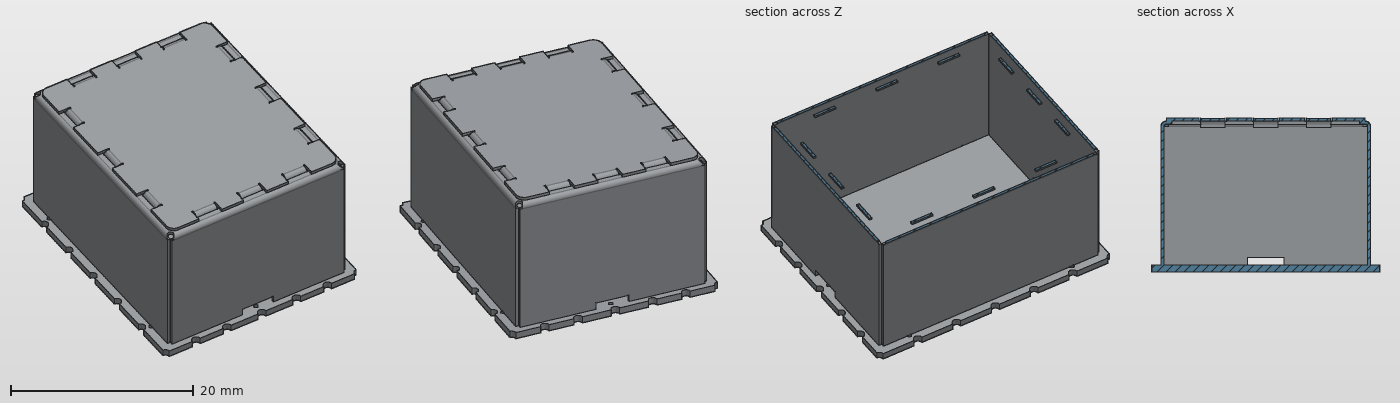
import cadquery as cq
import math

board_x = 30.0
board_y = 25.0
board_t = 0.8
notch_d = 1.0
notch_xs = (-10, -5, 0, 5, 10)
notch_ys = (-8.5, -4.5, 0, 4.5, 8.5)
rim_hole_d = 0.5
rim_hole_x = 10.5
rim_hole_y = 11.52
pin_hole_d = 0.5
pin_hole_x = 13.75

total_z = 16.91
sheet_t = 0.35
frame_x = 28.4
frame_y = 23.0
bend_r = 0.6
flange_w = 1.25
corner_gap = 0.02
relief_d = 0.8
relief_inset = 0.43
slot_w = 4.0
slot_h = 0.8

lid_corner_r = 1.0
tab_bend_r = 0.65
tab_slot_w = 3.0
tab_gap = 0.15
tab_xs = (-8, 0, 8)
tab_ys = (-5.8, 0, 5.8)

frame_top = total_z - sheet_t
bend_start_z = frame_top - bend_r
lid_x = frame_x - 2 * bend_r
lid_y = frame_y - 2 * bend_r
opening_x = frame_x - 2 * flange_w
opening_y = frame_y - 2 * flange_w
tab_w = tab_slot_w - 2 * tab_gap
tab_leg_end = frame_top - 2 * sheet_t


def block(size_x, size_y, z_bottom, z_top):
    """Box centred on the Z axis between two heights."""
    box = cq.Workplane("XY").box(size_x, size_y, z_top - z_bottom, centered=(True, True, False))
    return box.translate((0, 0, z_bottom))


def corner_points(size_x, size_y):
    return [(sx * size_x / 2, sy * size_y / 2) for sx in (-1, 1) for sy in (-1, 1)]


def make_board():
    notches = corner_points(board_x, board_y)
    for side in (-1, 1):
        notches += [(x, side * board_y / 2) for x in notch_xs]
        notches += [(side * board_x / 2, y) for y in notch_ys]
    rim_holes = corner_points(2 * rim_hole_x, 2 * rim_hole_y)
    pin_holes = [(-pin_hole_x, 0), (pin_hole_x, 0)]

    board = block(board_x, board_y, 0, board_t)
    for points, diameter in (
        (notches, notch_d),
        (rim_holes, rim_hole_d),
        (pin_holes, pin_hole_d),
    ):
        cutters = cq.Workplane("XY").pushPoints(points).circle(diameter / 2).extrude(board_t)
        board = board.cut(cutters)
    return board


def make_frame():
    outside = block(frame_x, frame_y, board_t, frame_top).faces(">Z").edges().fillet(bend_r)
    inside = block(frame_x - 2 * sheet_t, frame_y - 2 * sheet_t, board_t, frame_top - sheet_t)
    inside = inside.faces(">Z").edges().fillet(bend_r - sheet_t)
    frame = outside.cut(inside)
    frame = frame.cut(block(opening_x, opening_y, board_t, total_z))

    seam_w = sheet_t + corner_gap
    for x, y in corner_points(frame_x, frame_y):
        seam = block(2 * seam_w, 2 * seam_w, board_t, frame_top)
        frame = frame.cut(seam.translate((x, y, 0)))
    reliefs = (
        cq.Workplane("XY", origin=(0, 0, bend_start_z))
        .pushPoints(corner_points(frame_x - 2 * relief_inset, frame_y - 2 * relief_inset))
        .circle(relief_d / 2)
        .extrude(bend_r)
    )
    frame = frame.cut(reliefs)

    return frame.cut(block(board_x, slot_w, board_t, board_t + slot_h))


def place_tab(shape, side_angle, reach, offset):
    """Move a shape built at the origin, pointing +X, to an opening edge."""
    return shape.translate((reach, offset, 0)).rotate((0, 0, 0), (0, 0, 1), side_angle)


def make_tab():
    """Tab bent down through a quarter turn, its outer face at X = 0."""
    inner_r = tab_bend_r - sheet_t
    bend_z = total_z - tab_bend_r
    diagonal = math.sqrt(0.5)
    root_x = -tab_bend_r - tab_gap
    profile = (
        cq.Workplane("XZ")
        .moveTo(root_x, total_z)
        .lineTo(-tab_bend_r, total_z)
        .threePointArc((tab_bend_r * (diagonal - 1), bend_z + tab_bend_r * diagonal), (0, bend_z))
        .lineTo(0, tab_leg_end)
        .lineTo(-sheet_t, tab_leg_end)
        .lineTo(-sheet_t, bend_z)
        .threePointArc(
            (inner_r * diagonal - tab_bend_r, bend_z + inner_r * diagonal),
            (-tab_bend_r, bend_z + inner_r),
        )
        .lineTo(root_x, frame_top)
        .close()
    )
    return profile.extrude(tab_w / 2, both=True)


def make_lid():
    lid = block(lid_x, lid_y, frame_top, total_z).edges("|Z").fillet(lid_corner_r)
    slot_in = tab_bend_r + tab_gap
    slot_out = flange_w
    slot = block(slot_in + slot_out, tab_slot_w, frame_top, total_z)
    slot = slot.translate(((slot_out - slot_in) / 2, 0, 0))
    tab = make_tab()
    for side_angle, reach, offsets in (
        (0, opening_x / 2, tab_ys),
        (90, opening_y / 2, tab_xs),
        (180, opening_x / 2, tab_ys),
        (270, opening_y / 2, tab_xs),
    ):
        for offset in offsets:
            lid = lid.cut(place_tab(slot, side_angle, reach, offset))
            lid = lid.union(place_tab(tab, side_angle, reach, offset))
    return lid


result = make_board().union(make_frame()).union(make_lid())